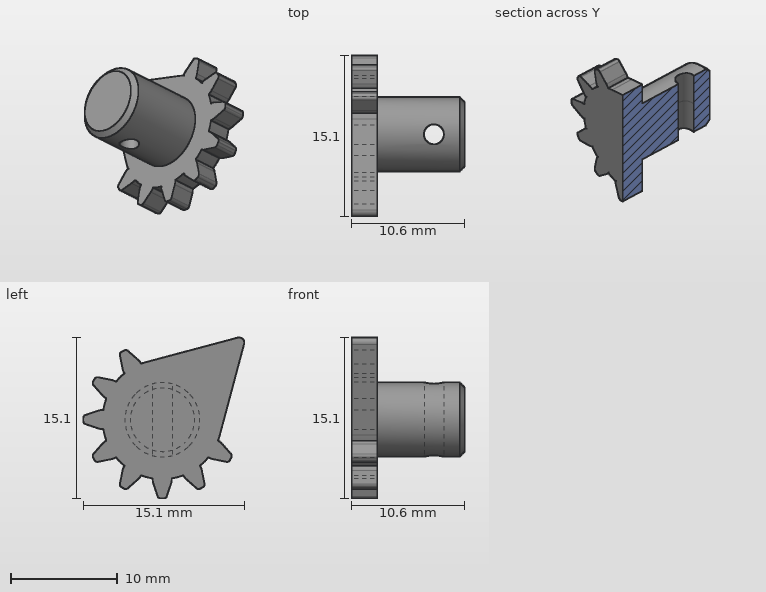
import cadquery as cq
import math

plate_thickness = 2.4
overall_length = 10.6

tooth_pitch_angle = 30.0
first_tooth_angle = -150.0
tooth_count = 8
root_radius = 5.6
outer_radius = 7.4
root_half_width = 0.91
root_flat_end = 5.59
shoulder_radius = 1.22
flank_angle = 18.6
tip_corner_radius = 0.3

arm_angle = 135.0
arm_tip_radius = 0.5
arm_reach = 7.7

shaft_diameter = 7.0
shaft_chamfer = 0.5
pin_hole_diameter = 1.85
pin_hole_from_end = 2.9


def polar(radius, degrees):
    angle = math.radians(degrees)
    return (radius * math.cos(angle), radius * math.sin(angle))


def shoulder_point(degrees):
    """Point on the upper shoulder arc where its tangent slopes inwards by the given angle."""
    x, y = polar(shoulder_radius, 90 - degrees)
    return (root_flat_end + x, root_half_width - shoulder_radius + y)


def make_tooth(angle):
    """One tooth with rounded tip corners, drawn along +Y and turned about the shaft axis."""
    shoulder_middle = shoulder_point(flank_angle / 2)
    shoulder_end = shoulder_point(flank_angle)
    flank_length = outer_radius - shoulder_end[0]
    tip_half_width = shoulder_end[1] - flank_length * math.tan(math.radians(flank_angle))

    def mirrored(point):
        return (point[0], -point[1])

    tooth = (
        cq.Workplane("YZ")
        .moveTo(0, -root_half_width)
        .lineTo(root_flat_end, -root_half_width)
        .threePointArc(mirrored(shoulder_middle), mirrored(shoulder_end))
        .lineTo(outer_radius, -tip_half_width)
        .lineTo(outer_radius, tip_half_width)
        .lineTo(*shoulder_end)
        .threePointArc(shoulder_middle, (root_flat_end, root_half_width))
        .lineTo(0, root_half_width)
        .close()
        .extrude(plate_thickness)
        .faces(">Y")
        .edges("|X")
        .fillet(tip_corner_radius)
    )
    return tooth.rotate((0, 0, 0), (1, 0, 0), angle)


def make_arm():
    """Arm bounded by the two outer tangents of the root circle and the tip circle."""
    tip_offset = arm_reach - arm_tip_radius
    tip_distance = tip_offset * math.sqrt(2)
    tangent_angle = math.degrees(math.acos((root_radius - arm_tip_radius) / tip_distance))
    upper = arm_angle - tangent_angle
    lower = arm_angle + tangent_angle

    def on_tip(degrees):
        y, z = polar(arm_tip_radius, degrees)
        return (y - tip_offset, z + tip_offset)

    return (
        cq.Workplane("YZ")
        .moveTo(0, 0)
        .lineTo(*polar(root_radius, upper))
        .lineTo(*on_tip(upper))
        .threePointArc(on_tip(arm_angle), on_tip(lower))
        .lineTo(*polar(root_radius, lower))
        .close()
        .extrude(plate_thickness)
    )


def make_plate():
    plate = cq.Workplane("YZ").circle(root_radius).extrude(plate_thickness)
    plate = plate.union(make_arm())
    for index in range(tooth_count):
        plate = plate.union(make_tooth(first_tooth_angle + index * tooth_pitch_angle))
    return plate


def make_shaft():
    """Round shaft with a chamfered free end, running through the plate."""
    return (
        cq.Workplane("YZ")
        .circle(shaft_diameter / 2)
        .extrude(overall_length)
        .faces(">X")
        .chamfer(shaft_chamfer)
    )


def make_pin_hole():
    """Cutter for the pin hole that crosses the shaft along Z."""
    return (
        cq.Workplane("XY")
        .center(overall_length - pin_hole_from_end, 0)
        .circle(pin_hole_diameter / 2)
        .extrude(shaft_diameter, both=True)
    )


result = make_plate().union(make_shaft()).cut(make_pin_hole())